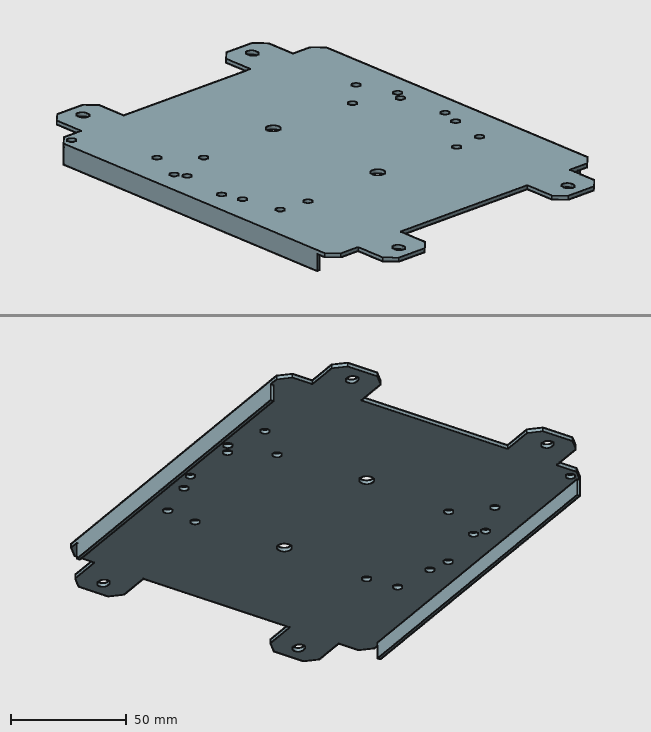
import cadquery as cq

overall_length = 216.0
overall_width = 155.0
overall_height = 10.0

plate_thickness = 2.0
flange_thickness = 1.5
body_length = 175.0
tab_width = 25.0
tab_spacing = 99.8
corner_chamfer = 5.0

flange_end_x = 77.8
front_flange_start_x = corner_chamfer - body_length / 2
rear_flange_start_x = -flange_end_x

small_hole_diameter = 4.0
large_hole_diameter = 6.5
large_hole_spacing = 66.0
slot_length = 6.0
slot_width = 5.0
slot_spacing = 199.5
corner_hole_position = (-83.0, -72.4)

small_hole_positions = [
    (-25.0, 65.9),
    (5.0, 65.9),
    (-20.0, 62.9),
    (15.0, 62.9),
    (-43.6, 58.8),
    (34.3, 58.8),
    (-30.0, 43.8),
    (35.9, 43.8),
]


def chamfered_sheet(length, width):
    """Flat sheet with its top face at z = 0 and its four corners cut off."""
    sheet = cq.Workplane("XY").rect(length, width).extrude(-plate_thickness)
    return sheet.edges("|Z").chamfer(corner_chamfer)


def make_plate():
    """Main body crossed by two strips whose ends form the mounting tabs."""
    plate = chamfered_sheet(body_length, overall_width)
    for side in (-1, 1):
        strip = chamfered_sheet(overall_length, tab_width)
        plate = plate.union(strip.translate((0, side * tab_spacing / 2, 0)))
    return plate


def make_flange(side, start_x):
    """Downward flange flush with one long edge of the body."""
    flange_length = flange_end_x - start_x
    center_x = (start_x + flange_end_x) / 2
    center_y = side * (overall_width - flange_thickness) / 2
    return (
        cq.Workplane("XY")
        .center(center_x, center_y)
        .rect(flange_length, flange_thickness)
        .extrude(-overall_height)
    )


def make_holes():
    """Cutters for every opening through the plate."""
    mirrored_positions = [(x, -y) for x, y in small_hole_positions]
    small_positions = small_hole_positions + mirrored_positions + [corner_hole_position]
    small_holes = (
        cq.Workplane("XY")
        .pushPoints(small_positions)
        .circle(small_hole_diameter / 2)
        .extrude(-plate_thickness)
    )
    large_holes = (
        cq.Workplane("XY")
        .rarray(large_hole_spacing, 2.2, 2, 1)
        .circle(large_hole_diameter / 2)
        .extrude(-plate_thickness)
    )
    slots = (
        cq.Workplane("XY")
        .rarray(slot_spacing, tab_spacing, 2, 2)
        .slot2D(slot_length, slot_width)
        .extrude(-plate_thickness)
    )
    return small_holes.union(large_holes).union(slots)


front_flange = make_flange(-1, front_flange_start_x)
rear_flange = make_flange(1, rear_flange_start_x)
result = make_plate().union(front_flange).union(rear_flange).cut(make_holes())